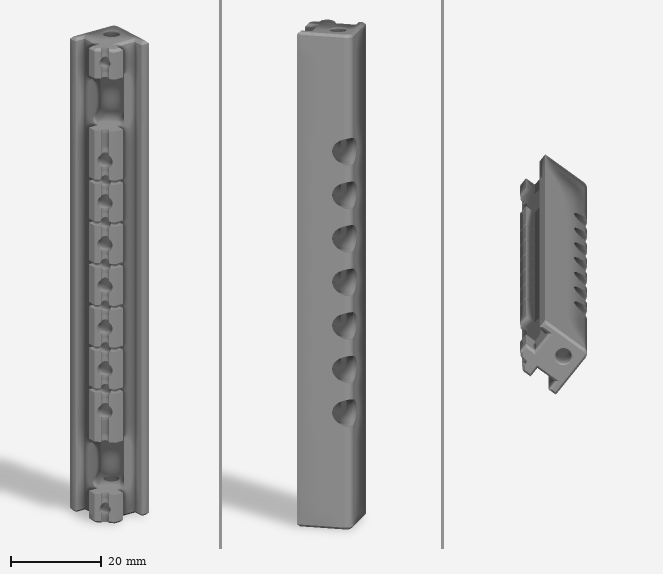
import cadquery as cq
import math

length = 113.5
side = 12.5
corner_radius = 1.7
end_chamfer = 0.6

lip = 2.0
slot_width = 5.0
slot_depth = 2.5
ridge_start = lip + slot_width
slot_floor = side - slot_depth
bevel_start = 9.2

groove_diameter = 1.8
groove_depth = 1.1

window_height = 12.5
window_center = 43.5
pocket_mouth_edge = 5.0
pocket_floor = 4.1
pocket_draft = 7.0
pocket_fillet = 1.0

notch_height = 1.0

hole_count = 7
hole_pitch = 10.0
screw_diameter = 3.4
counterbore_diameter = 6.2
counterbore_depth = 7.5

pilot_diameter = 2.5
pilot_depth = 7.4
pilot_inset = 3.4

end_hole_diameter = 3.5
end_hole_offset = 4.2
end_hole_chamfer = 0.2

root_two = math.sqrt(2)
bevel_distance = (side + bevel_start) / root_two
ridge_root = (slot_floor + ridge_start) / root_two
pocket_mouth = (slot_floor + pocket_mouth_edge) / root_two
pocket_mouth_width = (slot_floor - pocket_mouth_edge) * root_two
diagonal_reach = side * root_two
half_length = length / 2


def section_point(across, down):
    return (across - side / 2, side / 2 - down)


def diagonal_plane(distance, z):
    """Plane square to the section diagonal, its normal pointing to the ridge (+X, -Y)."""
    x, y = section_point(distance / root_two, distance / root_two)
    return cq.Plane(origin=(x, y, z), xDir=(1, 1, 0), normal=(1, -1, 0))


def diagonal_hole(diameter, start, end, z):
    return cq.Workplane(diagonal_plane(start, z)).circle(diameter / 2).extrude(end - start)


def pilot_hole(z):
    return diagonal_hole(pilot_diameter, bevel_distance - pilot_depth, diagonal_reach, z)


def ridge_cutter(height, z):
    """Block that removes the ridge down to its root over the given height."""
    reach = diagonal_reach - ridge_root
    return cq.Workplane(diagonal_plane(ridge_root, z)).rect(2 * reach, height).extrude(reach)


def make_bar():
    half_outline = [
        (0, side),
        (lip, side),
        (lip, slot_floor),
        (ridge_start, slot_floor),
        (ridge_start, side),
        (bevel_start, side),
    ]
    mirrored_half = [(down, across) for across, down in reversed(half_outline)]
    outline = [section_point(*point) for point in [(0, 0)] + half_outline + mirrored_half]
    bar = cq.Workplane("XY").workplane(offset=-half_length).polyline(outline).close().extrude(length)
    bar = bar.edges("|Z and <(1, -1, 0)").fillet(corner_radius)
    return bar.faces("<Z or >Z").chamfer(end_chamfer)


def make_groove():
    center_distance = bevel_distance - groove_depth + groove_diameter / 2
    x, y = section_point(center_distance / root_two, center_distance / root_two)
    return (
        cq.Workplane("XY")
        .workplane(offset=-half_length)
        .center(x, y)
        .circle(groove_diameter / 2)
        .extrude(length)
    )


def make_pocket(z):
    """Pocket that widens from its floor to the ridge root, rounded where walls meet ends."""
    widening = 2 * math.tan(math.radians(pocket_draft))
    floor_width = pocket_mouth_width - widening * (pocket_mouth - pocket_floor)
    root_width = pocket_mouth_width + widening * (ridge_root - pocket_mouth)
    x, y = section_point(pocket_floor / root_two, pocket_floor / root_two)
    plane = cq.Plane(origin=(x, y, z - window_height / 2), xDir=(-1, -1, 0), normal=(0, 0, 1))
    depth = ridge_root - pocket_floor
    outline = [
        (-floor_width / 2, 0),
        (floor_width / 2, 0),
        (root_width / 2, depth),
        (-root_width / 2, depth),
    ]
    pocket = cq.Workplane(plane).polyline(outline).close().extrude(window_height)
    end_edges = pocket.faces("<Z or >Z").edges()
    return end_edges.edges("not(|(1, 1, 0))").fillet(pocket_fillet)


def make_end_hole(end):
    """Axial hole from one end (-1 bottom, +1 top) to the middle of the pocket."""
    x, y = section_point(end_hole_offset, end_hole_offset)
    outward = cq.Plane(origin=(x, y, end * window_center), xDir=(1, 0, 0), normal=(0, 0, end))
    depth = half_length - window_center
    radius = end_hole_diameter / 2
    hole = cq.Workplane(outward).circle(radius).extrude(depth)
    countersink = (
        cq.Workplane(outward)
        .workplane(offset=depth - end_hole_chamfer)
        .circle(radius)
        .workplane(offset=end_hole_chamfer)
        .circle(radius + end_hole_chamfer)
        .loft(combine=True)
    )
    return hole.union(countersink)


result = make_bar().cut(make_groove())

for index in range(hole_count):
    z = (index - (hole_count - 1) / 2) * hole_pitch
    result = result.cut(diagonal_hole(screw_diameter, 0, diagonal_reach, z))
    result = result.cut(diagonal_hole(counterbore_diameter, 0, counterbore_depth, z))

for index in range(hole_count - 1):
    z = (index - (hole_count - 2) / 2) * hole_pitch
    result = result.cut(ridge_cutter(notch_height, z))
    result = result.cut(pilot_hole(z))

for end in (-1, 1):
    window_z = end * window_center
    result = result.cut(ridge_cutter(window_height, window_z))
    result = result.cut(make_pocket(window_z))
    result = result.cut(make_end_hole(end))
    result = result.cut(pilot_hole(end * (half_length - pilot_inset)))